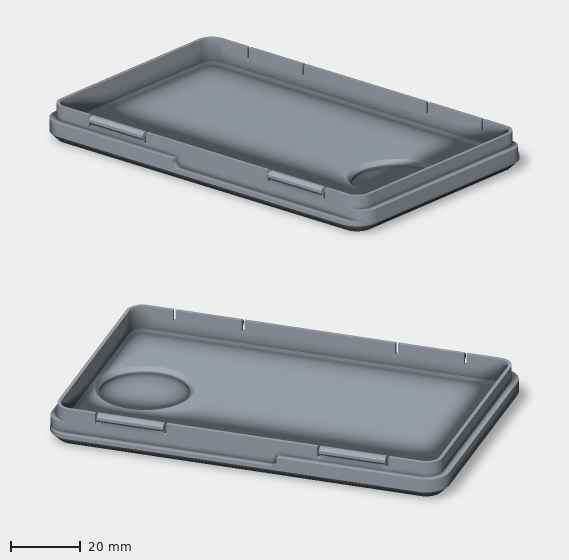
import cadquery as cq

LENGTH = 120.0
WIDTH = 75.0
HEIGHT = 11.0
CORNER_RADIUS = 7.0
BOTTOM_CHAMFER = 2.5
FLOOR_TOP = 3.0

LIP_INSET = 2.0
LIP_THICKNESS = 1.0
LIP_FOOT_CHAMFER = 0.89
LIP_LENGTH = LENGTH - 2 * LIP_INSET
LIP_WIDTH = WIDTH - 2 * LIP_INSET
LIP_RADIUS = CORNER_RADIUS - LIP_INSET
CAVITY_LENGTH = LIP_LENGTH - 2 * LIP_THICKNESS
CAVITY_WIDTH = LIP_WIDTH - 2 * LIP_THICKNESS
CAVITY_RADIUS = LIP_RADIUS - LIP_THICKNESS

STEP_TOP = 3.7
COLLAR_TOP = 6.6
COLLAR_END_X = -10.2
COLLAR_FOOT_RADIUS = 2.0
END_LEDGE_TOP = 7.0

TAB_WIDTH = 19.9
TAB_SPACING = 67.0
TAB_OFFSET_X = 1.0
TAB_CENTERS_X = (TAB_OFFSET_X - TAB_SPACING / 2, TAB_OFFSET_X + TAB_SPACING / 2)
SLOT_WIDTH = 0.78
SLOT_DEPTH = 3.4
RIDGE_SIZE = 0.8

POCKET_X = 42.1
POCKET_DIAMETER = 26.0
POCKET_CHAMFER = 1.2
POCKET_DEPTH = 2.0


def rounded_block(length, width, radius, bottom, top):
    """Upright block centred on the Z axis with rounded vertical edges."""
    block = cq.Workplane("XY").workplane(offset=bottom).rect(length, width).extrude(top - bottom)
    return block.edges("|Z").fillet(radius)


def make_base():
    """Bottom plate with a chamfered lower edge."""
    plate = rounded_block(LENGTH, WIDTH, CORNER_RADIUS, 0, STEP_TOP)
    return plate.faces("<Z").edges().chamfer(BOTTOM_CHAMFER)


def make_collar():
    """Full-width ledge at the -X end, running out into the side step through a concave fillet."""
    foot_end_x = COLLAR_END_X + COLLAR_FOOT_RADIUS
    collar_side = (
        cq.Workplane("XZ")
        .moveTo(-LENGTH / 2, STEP_TOP)
        .lineTo(foot_end_x, STEP_TOP)
        .radiusArc((COLLAR_END_X, STEP_TOP + COLLAR_FOOT_RADIUS), COLLAR_FOOT_RADIUS)
        .lineTo(COLLAR_END_X, COLLAR_TOP)
        .lineTo(-LENGTH / 2, COLLAR_TOP)
        .close()
        .extrude(WIDTH / 2, both=True)
    )
    return rounded_block(LENGTH, WIDTH, CORNER_RADIUS, STEP_TOP, COLLAR_TOP).intersect(collar_side)


def make_end_ledge():
    """Ledge at the +X end, no wider than the lip."""
    block = rounded_block(LENGTH, LIP_WIDTH, LIP_RADIUS, STEP_TOP, END_LEDGE_TOP)
    end_half = cq.Workplane("XY").box(LENGTH, WIDTH, HEIGHT, centered=(False, True, False))
    return block.intersect(end_half)


def make_cavity():
    """Inside of the tray, narrowed at the floor by a chamfer along the foot of the lip."""
    cavity = rounded_block(CAVITY_LENGTH, CAVITY_WIDTH, CAVITY_RADIUS, FLOOR_TOP, HEIGHT)
    return cavity.faces("<Z").edges().chamfer(LIP_FOOT_CHAMFER)


def make_pocket():
    """Round pocket with a conical mouth and a short straight wall."""
    radius = POCKET_DIAMETER / 2
    mouth_radius = radius + POCKET_CHAMFER
    bottom = FLOOR_TOP - POCKET_DEPTH
    clearance_top = FLOOR_TOP + LIP_FOOT_CHAMFER
    return (
        cq.Workplane("XZ")
        .moveTo(0, bottom)
        .lineTo(radius, bottom)
        .lineTo(radius, FLOOR_TOP - POCKET_CHAMFER)
        .lineTo(mouth_radius, FLOOR_TOP)
        .lineTo(mouth_radius, clearance_top)
        .lineTo(0, clearance_top)
        .close()
        .revolve(360, (0, 0, 0), (0, 1, 0))
        .translate((POCKET_X, 0, 0))
    )


def make_ridge(center_x, side):
    """Snap ridge on the outside of one tab; side is +1 or -1 along Y."""
    wall_y = side * LIP_WIDTH / 2
    crest_y = wall_y + side * RIDGE_SIZE
    root_y = wall_y - side * LIP_THICKNESS / 2
    lower_end = HEIGHT - 3 * RIDGE_SIZE
    profile = [
        (root_y, HEIGHT),
        (wall_y, HEIGHT),
        (crest_y, HEIGHT - RIDGE_SIZE),
        (crest_y, HEIGHT - 2 * RIDGE_SIZE),
        (wall_y, lower_end),
        (root_y, lower_end),
    ]
    ridge = cq.Workplane("YZ").polyline(profile).close().extrude(TAB_WIDTH / 2, both=True)
    return ridge.translate((center_x, 0, 0))


def make_slots(center_x):
    """Pair of slots, cut through both long walls, that free a tab at each of its ends."""
    slot_pitch = TAB_WIDTH + SLOT_WIDTH
    return (
        cq.Workplane("XY")
        .workplane(offset=HEIGHT - SLOT_DEPTH)
        .pushPoints([(center_x - slot_pitch / 2, 0), (center_x + slot_pitch / 2, 0)])
        .rect(SLOT_WIDTH, WIDTH)
        .extrude(SLOT_DEPTH)
    )


lip = rounded_block(LIP_LENGTH, LIP_WIDTH, LIP_RADIUS, STEP_TOP, HEIGHT)
result = make_base().union(lip).union(make_collar()).union(make_end_ledge())
result = result.cut(make_cavity()).cut(make_pocket())

for tab_x in TAB_CENTERS_X:
    result = result.cut(make_slots(tab_x))
    for wall_side in (-1, 1):
        result = result.union(make_ridge(tab_x, wall_side))